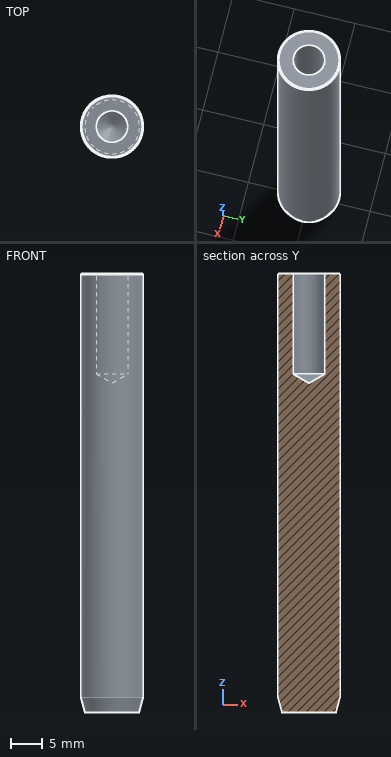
import cadquery as cq
import math


pin_diameter = 10.0
pin_length = 70.0

lead_in_length = 2.5
lead_in_angle = 15.0

top_chamfer = 0.2

hole_diameter = 5.0
hole_depth = 16.0
drill_point_angle = 120.0

pin_radius = pin_diameter / 2
lead_in_tip_radius = pin_radius - lead_in_length * math.tan(math.radians(lead_in_angle))
hole_radius = hole_diameter / 2
drill_point_height = hole_radius / math.tan(math.radians(drill_point_angle / 2))


def revolve_about_z(half_profile):
    """Revolve (radius, height) points a full turn about the Z axis."""
    return cq.Workplane("XZ").polyline(half_profile).close().revolve(360, (0, 0), (0, 1))


def make_pin_body():
    """Cylinder standing on Z = 0 with its bottom end tapered and its top edge chamfered."""
    return revolve_about_z([
        (0, 0),
        (lead_in_tip_radius, 0),
        (pin_radius, lead_in_length),
        (pin_radius, pin_length - top_chamfer),
        (pin_radius - top_chamfer, pin_length),
        (0, pin_length),
    ])


def make_hole():
    """Blind hole down from the top face, ending in a drill point."""
    hole_floor = pin_length - hole_depth
    return revolve_about_z([
        (0, pin_length),
        (hole_radius, pin_length),
        (hole_radius, hole_floor),
        (0, hole_floor - drill_point_height),
    ])


result = make_pin_body().cut(make_hole())